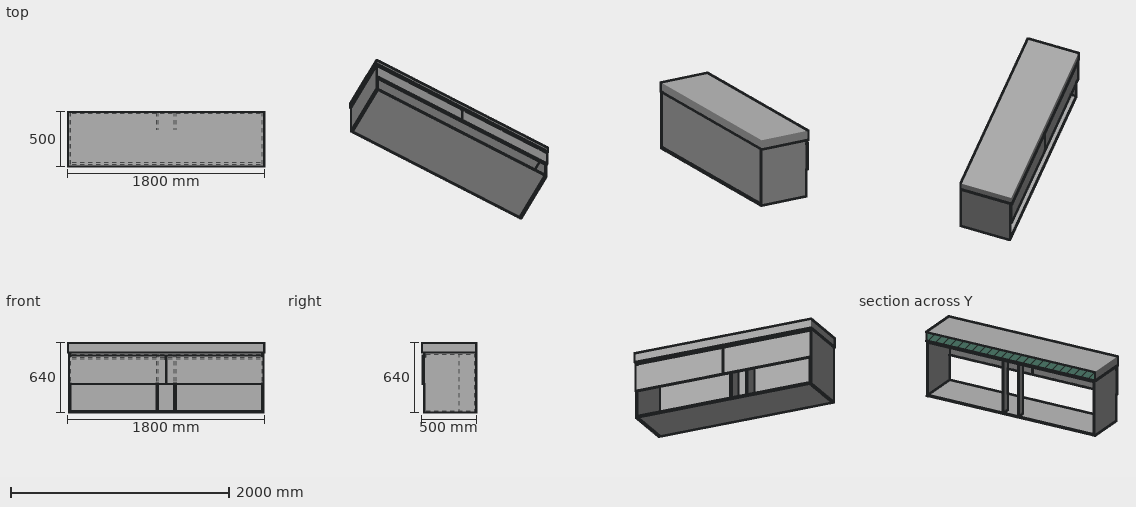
import cadquery as cq

WIDTH = 1800.0
DEPTH = 500.0
BOARD = 16.0

WORKTOP_HEIGHT = 90.0
WORKTOP_EDGE_RADIUS = 2.0

CABINET_HEIGHT = 550.0
CABINET_DEPTH = 480.0
CABINET_INSET = 7.0
CABINET_WIDTH = WIDTH - 2 * CABINET_INSET
INNER_WIDTH = CABINET_WIDTH - 2 * BOARD
REAR_Y = DEPTH / 2
FRONT_Y = REAR_Y - CABINET_DEPTH

DRAWER_HEIGHT = 261.0
DRAWER_TOP_GAP = 27.0
DRAWER_GAP = 4.0
DRAWER_WIDTH = (CABINET_WIDTH - DRAWER_GAP) / 2
DRAWER_BOTTOM_Z = CABINET_HEIGHT - DRAWER_TOP_GAP - DRAWER_HEIGHT

RAIL_HEIGHT = DRAWER_TOP_GAP + 2 * BOARD
RIB_SPACING = 162.0
RIB_DEPTH = 144.0


def board(width, depth, height, center_x, front_y, bottom_z):
    """A box centred on center_x, reaching back from front_y and up from bottom_z."""
    return (
        cq.Workplane("XY")
        .box(width, depth, height, centered=(True, False, False))
        .translate((center_x, front_y, bottom_z))
    )


def make_worktop():
    """Slab with its top and upright edges slightly rounded."""
    slab = board(WIDTH, DEPTH, WORKTOP_HEIGHT, 0, -DEPTH / 2, CABINET_HEIGHT)
    return slab.edges("|Z or >Z").fillet(WORKTOP_EDGE_RADIUS)


def make_side(direction):
    """Full-height side board; direction is -1 for left and 1 for right."""
    center_x = direction * (CABINET_WIDTH - BOARD) / 2
    return board(BOARD, CABINET_DEPTH, CABINET_HEIGHT, center_x, FRONT_Y, 0)


def make_floor():
    """Bottom board between the sides."""
    return board(INNER_WIDTH, CABINET_DEPTH, BOARD, 0, FRONT_Y, 0)


def make_inner_frame():
    """Back panel, front rail under the worktop, and two ribs and a deck joining them."""
    panel_y = REAR_Y - BOARD
    height = CABINET_HEIGHT - BOARD
    frame = board(INNER_WIDTH, BOARD, height, 0, panel_y, BOARD)
    deck_z = CABINET_HEIGHT - BOARD
    frame = frame.union(board(INNER_WIDTH, CABINET_DEPTH, BOARD, 0, FRONT_Y, deck_z))
    rail_z = CABINET_HEIGHT - RAIL_HEIGHT
    frame = frame.union(board(INNER_WIDTH, BOARD, RAIL_HEIGHT, 0, FRONT_Y, rail_z))
    for direction in (-1, 1):
        center_x = direction * RIB_SPACING / 2
        frame = frame.union(board(BOARD, RIB_DEPTH, height, center_x, panel_y - RIB_DEPTH, BOARD))
    return frame


def make_drawer_front(direction):
    """Drawer front on one half of the cabinet; its top slopes down 45 degrees to the rear."""
    profile = [
        (FRONT_Y, DRAWER_BOTTOM_Z),
        (FRONT_Y - BOARD, DRAWER_BOTTOM_Z),
        (FRONT_Y - BOARD, DRAWER_BOTTOM_Z + DRAWER_HEIGHT),
        (FRONT_Y, DRAWER_BOTTOM_Z + DRAWER_HEIGHT - BOARD),
    ]
    center_x = direction * (DRAWER_WIDTH + DRAWER_GAP) / 2
    front = cq.Workplane("YZ").polyline(profile).close().extrude(DRAWER_WIDTH)
    return front.translate((center_x - DRAWER_WIDTH / 2, 0, 0))


worktop = make_worktop()
sides = [make_side(direction) for direction in (-1, 1)]
floor = make_floor()
inner_frame = make_inner_frame()
drawer_fronts = [make_drawer_front(direction) for direction in (-1, 1)]

bodies = [worktop, *sides, floor, inner_frame, *drawer_fronts]
result = cq.Compound.makeCompound([body.val() for body in bodies])